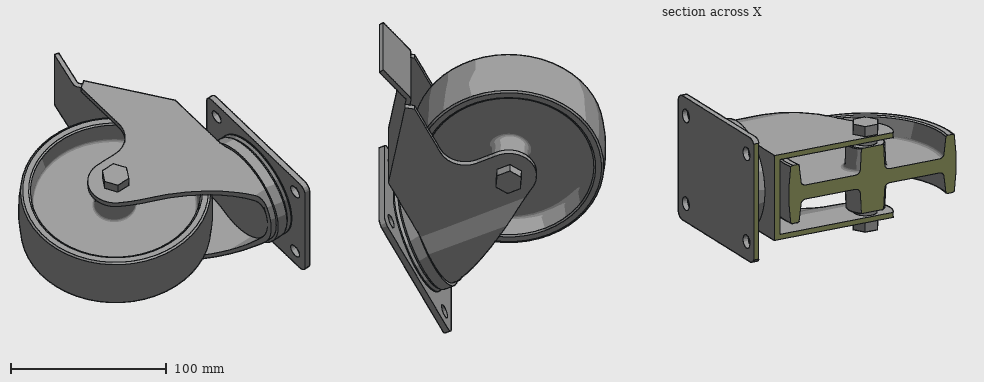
import cadquery as cq
import math


swivel_x = 40.0
plate_top = 87.5
plate_thickness = 4.0
plate_length = 100.2
plate_width = 85.0
plate_corner = 5.5
hole_diameter = 9.0
hole_spacing_x = 79.9
hole_spacing_z = 60.0
head_radius = 36.8
groove_radius = 35.5
rim_bottom = 79.3
groove_middle = 80.7
rim_top = 82.7

fork_top = 72.1
roof_thickness = 4.2
fork_inner = 25.5
fork_wall = 3.8
fork_outer = fork_inner + fork_wall
nose_radius = 34.8
cheek_front = 14.3
boss_radius = 17.9
front_slope = math.radians(56.7)
lip_blend = 9.0
heel_bottom = 31.6
heel_corner_x = -74.1
heel_blend = 17.7
roof_rear = -28.0
heel_x, heel_y = -77.7, 36.8

lever_thickness = 3.2
lever_slope = math.radians(12.9)
lever_tip_x = -108.7
lever_bend_x = -80.9
lever_inner_bend = 1.2

wheel_radius = 62.5
wheel_edge_radius = 61.0
rim_face_radius = 59.6
wheel_half_width = 20.0
edge_bevel = 0.8
rim_inner_radius = 55.8
recess_mouth_radius = 54.7
recess_radius = 53.3
web_radius = 50.3
web_half_thickness = 5.0
hub_foot_radius = 15.9
hub_base_radius = 13.1
hub_radius = 12.5
hub_bevel = 0.5
hub_half_length = 22.5

axle_diameter = 15.1
hex_flats = 15.7
hex_end = 36.2


def make_plate():
    """Rounded mounting plate with four bolt holes."""
    middle = plate_top - plate_thickness / 2
    return (
        cq.Workplane("XY")
        .box(plate_length, plate_thickness, plate_width)
        .edges("|Y").fillet(plate_corner)
        .faces(">Y").workplane()
        .rect(hole_spacing_x, hole_spacing_z, forConstruction=True)
        .vertices().hole(hole_diameter)
        .translate((swivel_x, middle, 0))
    )


def make_swivel_head():
    """Round head between fork and plate, with a V-shaped groove."""
    plate_bottom = plate_top - plate_thickness
    profile = [
        (0, fork_top),
        (head_radius, fork_top),
        (head_radius, rim_bottom),
        (groove_radius, groove_middle),
        (head_radius, rim_top),
        (head_radius, plate_bottom),
        (0, plate_bottom),
    ]
    head = cq.Workplane("XY").polyline(profile).close().revolve(360, (0, 0), (0, 1))
    return head.translate((swivel_x, 0, 0))


def fork_plan(half_width, radius, flare):
    """Prism along Y: parallel cheeks that flare into a round nose."""
    bottom = -2 * boss_radius
    start = swivel_x - plate_length - plate_width
    reach = swivel_x - cheek_front
    centre_z = half_width + flare
    tilt = math.atan2(centre_z, reach)
    join_x = swivel_x - radius * math.cos(tilt)
    join_z = radius * math.sin(tilt)
    middle_angle = (tilt + math.pi / 2) / 2
    mid_x = cheek_front + flare * math.cos(middle_angle)
    mid_z = centre_z - flare * math.sin(middle_angle)
    return (
        cq.Workplane("XZ", origin=(0, bottom, 0))
        .moveTo(start, half_width)
        .lineTo(cheek_front, half_width)
        .threePointArc((mid_x, mid_z), (join_x, join_z))
        .threePointArc((swivel_x + radius, 0), (join_x, -join_z))
        .threePointArc((mid_x, -mid_z), (cheek_front, -half_width))
        .lineTo(start, -half_width)
        .close()
        .extrude(bottom - fork_top)
    )


def make_fork():
    """Bent fork: side outline cut from a hollow U-shaped prism with a flat roof."""
    front = swivel_x + nose_radius + fork_wall
    roof_bottom = fork_top - roof_thickness
    tangent_x = boss_radius * math.sin(front_slope)
    tangent_y = -boss_radius * math.cos(front_slope)
    corner_x = tangent_x + (roof_bottom - tangent_y) / math.tan(front_slope)
    blend_length = lip_blend * math.tan(front_slope / 2)
    blend_x = corner_x - blend_length * math.cos(front_slope)
    blend_y = roof_bottom - blend_length * math.sin(front_slope)
    outline = (
        cq.Workplane("XY", origin=(0, 0, -head_radius))
        .moveTo(roof_rear, fork_top)
        .lineTo(heel_x, heel_y)
        .lineTo(heel_corner_x, heel_bottom)
        .lineTo(-boss_radius - heel_blend, heel_bottom)
        .radiusArc((-boss_radius, heel_bottom - heel_blend), heel_blend)
        .lineTo(-boss_radius, 0)
        .threePointArc((0, -boss_radius), (tangent_x, tangent_y))
        .lineTo(blend_x, blend_y)
        .radiusArc((corner_x + blend_length, roof_bottom), lip_blend)
        .lineTo(front, roof_bottom)
        .lineTo(front, fork_top)
        .close()
        .extrude(2 * head_radius)
    )
    reach = swivel_x - cheek_front
    flare = (reach**2 + fork_outer**2 - nose_radius**2) / (2 * (nose_radius - fork_outer))
    outside = fork_plan(fork_outer, nose_radius, flare)
    inside = fork_plan(fork_inner, nose_radius - fork_wall, flare + fork_wall)
    cavity = inside.translate((0, -roof_thickness, 0))
    return outside.cut(cavity).intersect(outline)


def make_lever():
    """Sloping back sheet between the cheeks, bent up into the brake pedal."""
    back_slope = math.atan2(fork_top - heel_y, roof_rear - heel_x)
    bend_y = fork_top - (roof_rear - lever_bend_x) * math.tan(back_slope)
    tip_top_x = lever_tip_x + lever_thickness * math.sin(lever_slope)
    tip_top_y = bend_y + (lever_bend_x - tip_top_x) * math.tan(lever_slope)
    tip_bottom_y = tip_top_y - lever_thickness * math.cos(lever_slope)
    half_bend = (back_slope + lever_slope) / 2
    bisector = (back_slope - lever_slope) / 2
    miter = lever_thickness / math.cos(half_bend)
    lower_bend = (
        lever_bend_x + miter * math.sin(bisector),
        bend_y - miter * math.cos(bisector),
    )
    roof_bottom = fork_top - roof_thickness
    lower_drop = lever_thickness / math.cos(back_slope) - roof_thickness
    lower_rear_x = roof_rear + lower_drop / math.tan(back_slope)
    sheet = (
        cq.Workplane("XY", origin=(0, 0, -fork_inner))
        .moveTo(roof_rear, fork_top)
        .lineTo(lever_bend_x, bend_y)
        .lineTo(tip_top_x, tip_top_y)
        .lineTo(lever_tip_x, tip_bottom_y)
        .lineTo(*lower_bend)
        .lineTo(lower_rear_x, roof_bottom)
        .lineTo(roof_rear + roof_thickness, roof_bottom)
        .lineTo(roof_rear + roof_thickness, fork_top)
        .close()
        .extrude(2 * fork_inner)
    )
    upper_edge = cq.selectors.NearestToPointSelector((lever_bend_x, bend_y, 0))
    lower_edge = cq.selectors.NearestToPointSelector((*lower_bend, 0))
    sheet = sheet.edges("|Z").edges(upper_edge).fillet(lever_inner_bend)
    return sheet.edges("|Z").edges(lower_edge).fillet(lever_inner_bend + lever_thickness)


def make_wheel():
    """Crowned wheel with a dished web and a tapered hub, symmetric about Z = 0."""
    web_blend = recess_radius - web_radius
    hub_blend = hub_foot_radius - hub_base_radius
    bevel_z = wheel_half_width - edge_bevel
    half_section = (
        cq.Workplane("XZ")
        .lineTo(0, hub_half_length)
        .lineTo(hub_radius - hub_bevel, hub_half_length)
        .lineTo(hub_radius, hub_half_length - hub_bevel)
        .lineTo(hub_base_radius, web_half_thickness + hub_blend)
        .radiusArc((hub_foot_radius, web_half_thickness), -hub_blend)
        .lineTo(web_radius, web_half_thickness)
        .radiusArc((recess_radius, web_half_thickness + web_blend), -web_blend)
        .lineTo(recess_mouth_radius, bevel_z)
        .lineTo(rim_inner_radius, wheel_half_width)
        .lineTo(rim_face_radius, wheel_half_width)
        .lineTo(wheel_edge_radius, bevel_z)
        .lineTo(wheel_edge_radius, 0)
        .close()
    )
    half_wheel = half_section.revolve(360, (0, 0), (0, 1))
    tread = (
        cq.Workplane("XZ")
        .moveTo(rim_face_radius, -bevel_z)
        .lineTo(wheel_edge_radius, -bevel_z)
        .threePointArc((wheel_radius, 0), (wheel_edge_radius, bevel_z))
        .lineTo(rim_face_radius, bevel_z)
        .close()
        .revolve(360, (0, 0), (0, 1))
    )
    return half_wheel.union(half_wheel.mirror("XY")).union(tread)


def make_axle():
    """Round axle through the fork with a hexagon head on each side."""
    hex_corners = hex_flats / math.cos(math.pi / 6)
    axle = cq.Workplane("XY").circle(axle_diameter / 2).extrude(fork_outer, both=True)
    head = (
        cq.Workplane("XY", origin=(0, 0, fork_outer))
        .transformed(rotate=(0, 0, 90))
        .polygon(6, hex_corners)
        .extrude(hex_end - fork_outer)
    )
    return axle.union(head).union(head.mirror("XY"))


result = (
    make_plate()
    .union(make_swivel_head())
    .union(make_fork())
    .union(make_lever())
    .union(make_wheel())
    .union(make_axle())
)